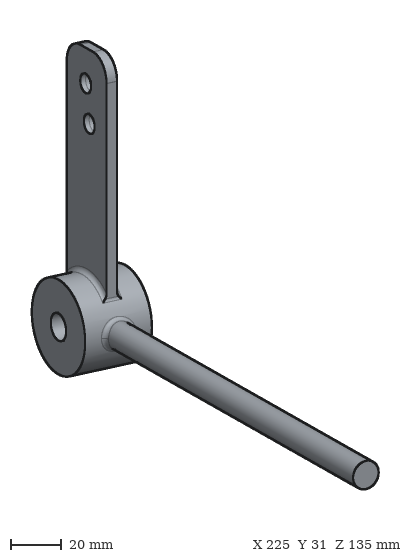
import cadquery as cq

overall_length = 225.0
overall_height = 135.0

hub_diameter = 40.0
hub_width = 31.0
bore_diameter = 11.5
hub_radius = hub_diameter / 2

arm_width = 30.0
arm_thickness = 5.0
arm_top = overall_height - hub_radius
arm_corner_radius = 10.1
arm_hole_diameter = 8.0
upper_hole_x = -0.7
upper_hole_drop = 15.0
lower_hole_x = 2.0
lower_hole_drop = 31.3

rod_diameter = 12.0
rod_end = overall_length - hub_radius
root_start = 14.6

weld_radius = 2.0


def cylinder_along_y(diameter, length, x=0, z=0):
    """Cylinder centred on Y = 0 with its axis at (x, z)."""
    return cq.Workplane("XZ").center(x, z).circle(diameter / 2).extrude(length / 2, both=True)


def make_arm():
    """Plate rooted in the hub, with two rounded top corners."""
    plate = cq.Workplane("XY").box(arm_width, arm_thickness, arm_top, centered=(True, True, False))
    return plate.edges("|Y and >Z").fillet(arm_corner_radius)


def make_rod():
    """Solid rod from inside the hub out to its free end."""
    return cq.Workplane("YZ").workplane(offset=root_start).circle(rod_diameter / 2).extrude(rod_end - root_start)


def root_edges(body):
    """Edges lying on the hub surface where the arm and rod join it."""
    reach = hub_radius + weld_radius
    inner_width = hub_width - 2 * weld_radius
    root_zone = cq.selectors.BoxSelector(
        (-reach, -inner_width / 2, -rod_diameter),
        (reach, inner_width / 2, reach),
        boundingbox=True,
    )
    return body.edges(root_zone)


body = cylinder_along_y(hub_diameter, hub_width).union(make_arm()).union(make_rod())
result = root_edges(body).fillet(weld_radius)
result = result.cut(cylinder_along_y(bore_diameter, hub_width))
for hole_x, drop in ((upper_hole_x, upper_hole_drop), (lower_hole_x, lower_hole_drop)):
    result = result.cut(cylinder_along_y(arm_hole_diameter, arm_thickness, hole_x, arm_top - drop))